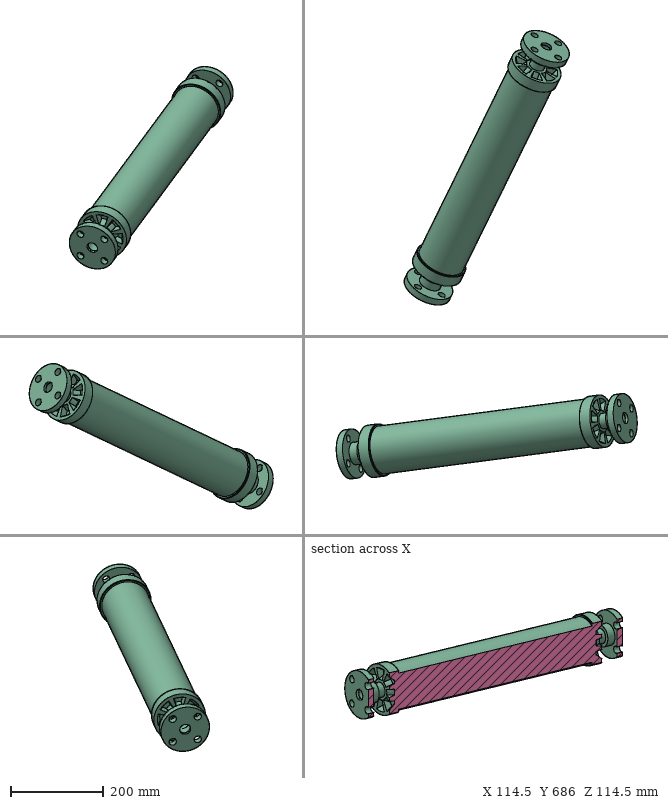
import cadquery as cq
import math

total_length = 686.0
flange_thickness = 16.0
hub_length = 19.0
neck_length = 21.0
cap_length = 27.0

flange_diameter = 108.0
hub_diameter = 49.5
neck_diameter = 33.5
cap_diameter = 114.5
tube_diameter = 105.0
mouth_diameter = 24.0
bore_diameter = 29.5

mouth_length = 7.0

cap_chamfer = 1.5

bolt_diameter = 16.0
bolt_spacing = 55.5

pocket_outer_diameter = 99.0
pocket_inner_diameter = 46.5
pocket_depth = 14.5
pocket_wall_run = 8.0
pocket_count = 8
pocket_half_angle = 16
pocket_side_draft = 10

end_face = total_length / 2
flange_back = end_face - flange_thickness
hub_back = flange_back - hub_length
cap_face = hub_back - neck_length
cap_back = cap_face - cap_length


def revolve_profile(points):
    """Revolve a (radius, Y) outline about the Y axis."""
    return cq.Workplane("XY").polyline(points).close().revolve(360, (0, 0, 0), (0, 1, 0))


def end_fitting_body():
    """Cap, neck, hub and flange at the +Y end of the tube."""
    return revolve_profile([
        (0, cap_back),
        (cap_diameter / 2 - cap_chamfer, cap_back),
        (cap_diameter / 2, cap_back + cap_chamfer),
        (cap_diameter / 2, cap_face),
        (neck_diameter / 2, cap_face),
        (neck_diameter / 2, hub_back),
        (hub_diameter / 2, hub_back),
        (hub_diameter / 2, flange_back),
        (flange_diameter / 2, flange_back),
        (flange_diameter / 2, end_face),
        (0, end_face),
    ])


def cap_pockets():
    """Ring groove with sloping walls, cut into wedges whose sides are drafted."""
    floor = cap_face - pocket_depth
    ring = revolve_profile([
        (pocket_inner_diameter / 2, cap_face),
        (pocket_outer_diameter / 2, cap_face),
        (pocket_outer_diameter / 2 - pocket_wall_run, floor),
        (pocket_inner_diameter / 2 + pocket_wall_run, floor),
    ])
    wedge_half_width = cap_diameter * math.tan(math.radians(pocket_half_angle))
    wedge = (
        cq.Workplane("XZ", origin=(0, cap_face, 0))
        .polyline([(0, 0), (cap_diameter, -wedge_half_width), (cap_diameter, wedge_half_width)])
        .close()
        .extrude(pocket_depth, taper=pocket_side_draft)
    )
    pocket = ring.intersect(wedge)
    pockets = cq.Workplane("XY")
    for index in range(pocket_count):
        angle = index * 360 / pocket_count
        pockets = pockets.add(pocket.rotate((0, 0, 0), (0, 1, 0), angle))
    return pockets.combine()


def bolt_holes():
    """Four holes through the flange."""
    return (
        cq.Workplane("XZ", origin=(0, end_face, 0))
        .rect(bolt_spacing, bolt_spacing, forConstruction=True)
        .vertices()
        .circle(bolt_diameter / 2)
        .extrude(flange_thickness)
    )


def centred_cylinder(diameter, length):
    """Cylinder along Y, centred on the middle plane."""
    return cq.Workplane("XZ", origin=(0, length / 2, 0)).circle(diameter / 2).extrude(length)


end_fitting = end_fitting_body().cut(cap_pockets()).cut(bolt_holes())
tube = centred_cylinder(tube_diameter, 2 * cap_back)

result = (
    tube
    .union(end_fitting)
    .union(end_fitting.mirror("XZ"))
    .cut(centred_cylinder(mouth_diameter, total_length))
    .cut(centred_cylinder(bore_diameter, total_length - 2 * mouth_length))
)